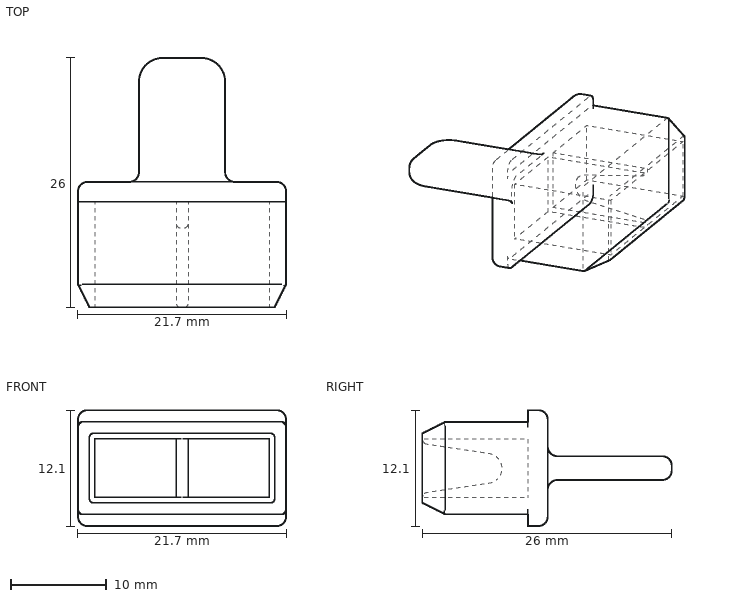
import cadquery as cq
import math

width = 21.7
overall_length = 26.0

shell_height = 9.65
shell_length = 11.0
shell_corner_radius = 0.5
nose_length = 2.4
nose_inset = 1.2
mouth_wall = 0.57

flange_height = 12.1
flange_thickness = 2.08
flange_corner_radius = 1.0
flange_rim_radius = 0.999

tab_width = 9.0
tab_thickness = 2.5
tab_corner_radius = 2.5
tab_edge_radius = 1.0
tab_root_radius = 1.0

rib_width = 1.25
rib_edge_radius = 0.5
rib_nose_radius = 0.55
rib_draft = math.radians(8.5)
rib_arc_radius = 1.56

selection_margin = 0.05

cavity_width = width - 2 * (nose_inset + mouth_wall)
cavity_height = shell_height - 2 * (nose_inset + mouth_wall)
cavity_depth = shell_length
flange_back = shell_length + flange_thickness


def block(size_x, size_z, y_start, y_end):
    """Box centred on the Y axis between two Y positions."""
    return cq.Workplane("XY").box(size_x, y_end - y_start, size_z).translate((0, (y_start + y_end) / 2, 0))


def make_shell():
    """Rounded box whose front end tapers towards the mouth."""
    taper = math.degrees(math.atan2(nose_inset, nose_length))
    body = block(width, shell_height, nose_length, shell_length)
    nose = (
        cq.Workplane("XZ", origin=(0, nose_length, 0))
        .rect(width, shell_height)
        .extrude(nose_length, taper=taper)
    )
    return body.union(nose).edges("not(#Y)").fillet(shell_corner_radius)


def make_flange():
    """Plate with rounded corners and a rounded rear rim."""
    plate = block(width, flange_height, shell_length, flange_back)
    plate = plate.edges("|Y").fillet(flange_corner_radius)
    return plate.faces(">Y").edges().fillet(flange_rim_radius)


def make_tab():
    """Flat tongue with rounded end corners and rounded edges."""
    tongue = block(tab_width, tab_thickness, shell_length, overall_length)
    tongue = tongue.edges("|Z and >Y").fillet(tab_corner_radius)
    return tongue.faces(">Z or <Z").edges("not <Y").fillet(tab_edge_radius)


def make_rib():
    """Rib along both broad cavity walls, joined by an arc at the cavity floor."""
    wall = cavity_height / 2
    slope_sin = math.sin(rib_draft)
    slope_cos = math.cos(rib_draft)
    diagonal = math.cos(math.radians(45))
    nose_bulge = rib_nose_radius * (1 - diagonal)
    nose_rise = rib_nose_radius * diagonal

    leg_start = rib_nose_radius * (1 - slope_sin)
    tip = wall - rib_nose_radius * slope_cos
    arc_start_z = rib_arc_radius * slope_cos
    arc_start = leg_start + (tip - arc_start_z) / math.tan(rib_draft)
    arc_end = arc_start + rib_arc_radius * (1 - slope_sin)
    rib = (
        cq.Workplane("YZ", origin=(-rib_width / 2, 0, 0))
        .moveTo(0, wall)
        .threePointArc((nose_bulge, wall - nose_rise), (leg_start, tip))
        .lineTo(arc_start, arc_start_z)
        .threePointArc((arc_end, 0), (arc_start, -arc_start_z))
        .lineTo(leg_start, -tip)
        .threePointArc((nose_bulge, nose_rise - wall), (0, -wall))
        .lineTo(cavity_depth, -wall)
        .lineTo(cavity_depth, wall)
        .close()
        .extrude(rib_width)
    )
    inner_height = wall - selection_margin
    inner_edges = cq.selectors.BoxSelector(
        (-rib_width, 0, -inner_height),
        (rib_width, cavity_depth - selection_margin, inner_height),
    )
    return rib.edges(inner_edges).edges("#X").fillet(rib_edge_radius)


def make_grip():
    """Flange and tab joined by a concave fillet around the tab root."""
    grip = make_flange().union(make_tab())
    root_edges = cq.selectors.BoxSelector(
        (-tab_width, flange_back - selection_margin, -tab_thickness),
        (tab_width, flange_back + selection_margin, tab_thickness),
    )
    return grip.edges(root_edges).fillet(tab_root_radius)


def make_part():
    """Hollow shell with the grip behind it and the rib inside it."""
    cavity = block(cavity_width, cavity_height, 0, cavity_depth)
    return make_shell().union(make_grip()).cut(cavity).union(make_rib())


result = make_part()